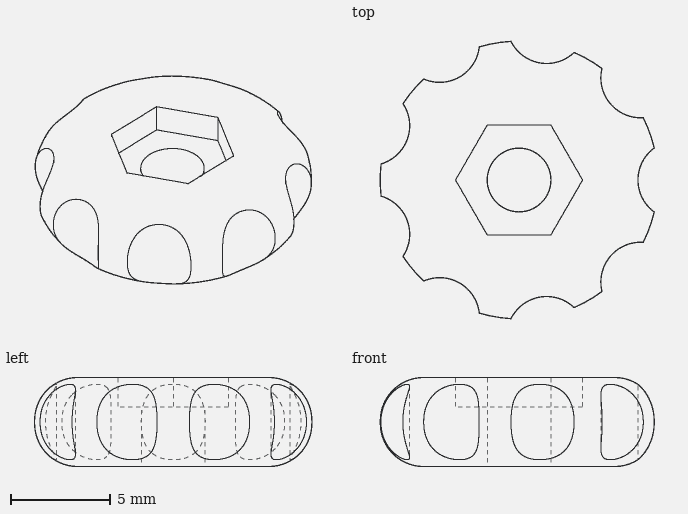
import cadquery as cq
import math

body_radius = 7.0
height = 4.5
edge_radius = 2.2

scallop_count = 9
scallop_radius = 2.0
scallop_circle_radius = 8.0

hole_diameter = 3.2
hex_across_corners = 2 * hole_diameter
hex_depth = 1.5


def knob_body():
    """Disc with rounded rims that leave a narrow straight band at mid-height."""
    disc = cq.Workplane("XY").circle(body_radius).extrude(height)
    return disc.edges().fillet(edge_radius)


def finger_scallops():
    """Vertical cylinders that cut the grip into the rim."""
    step = 2 * math.pi / scallop_count
    centers = [
        (
            scallop_circle_radius * math.cos(i * step),
            scallop_circle_radius * math.sin(i * step),
        )
        for i in range(scallop_count)
    ]
    return cq.Workplane("XY").pushPoints(centers).circle(scallop_radius).extrude(height)


def screw_hole():
    return cq.Workplane("XY").circle(hole_diameter / 2).extrude(height)


def hex_pocket():
    """Hexagon sunk from the top face, with two corners on the X axis."""
    top = cq.Workplane("XY").workplane(offset=height)
    return top.polygon(6, hex_across_corners).extrude(-hex_depth)


result = knob_body().cut(finger_scallops()).cut(screw_hole()).cut(hex_pocket())